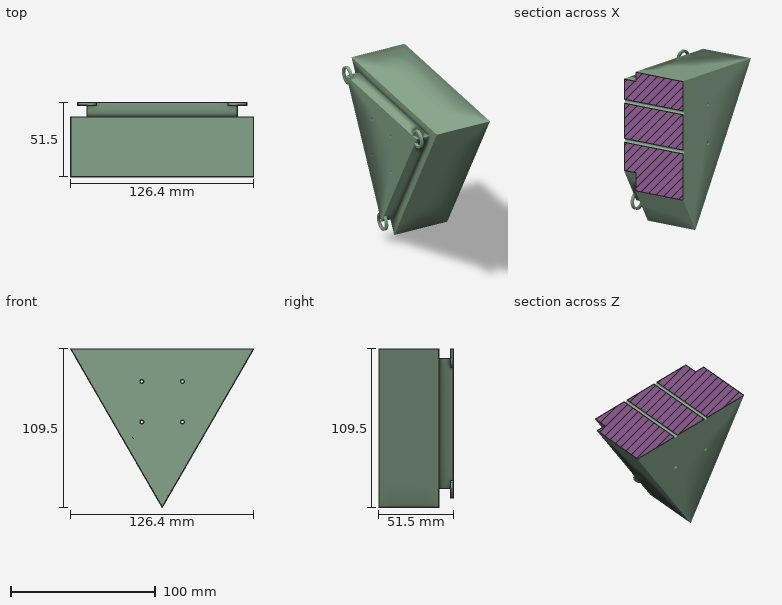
import cadquery as cq
import math

body_height = 109.5
body_depth = 41.5
plinth_height = 90.0
plinth_depth = 10.0
ring_outer_radius = 6.5
ring_inner_radius = 5.0
ring_thickness = 2.0
hole_diameter = 2.45
hole_spacing = 28.0

total_depth = body_depth + plinth_depth


def triangle_corners(height):
    """Corners (x, z) of an equilateral triangle pointing down, centred on its centroid."""
    side = height * 2 / math.sqrt(3)
    top = height / 3
    return [(-side / 2, top), (side / 2, top), (0, top - height)]


def plane_at(y):
    """XZ plane at depth y; extruding by a negative length goes toward +Y."""
    return cq.Workplane("XZ", origin=(0, y, 0))


def triangular_prism(height, start, depth):
    return plane_at(start).polyline(triangle_corners(height)).close().extrude(-depth)


def corner_rings():
    """Flat rings around the plinth corners, flush with the back face."""
    return (
        plane_at(total_depth - ring_thickness)
        .pushPoints(triangle_corners(plinth_height))
        .circle(ring_outer_radius)
        .circle(ring_inner_radius)
        .extrude(-ring_thickness)
    )


def mounting_holes():
    """Square pattern of holes running from front to back."""
    return (
        plane_at(0)
        .rarray(hole_spacing, hole_spacing, 2, 2)
        .circle(hole_diameter / 2)
        .extrude(-total_depth)
    )


body = triangular_prism(body_height, 0, body_depth)
plinth = triangular_prism(plinth_height, body_depth, plinth_depth)
result = body.union(plinth).union(corner_rings()).cut(mounting_holes())